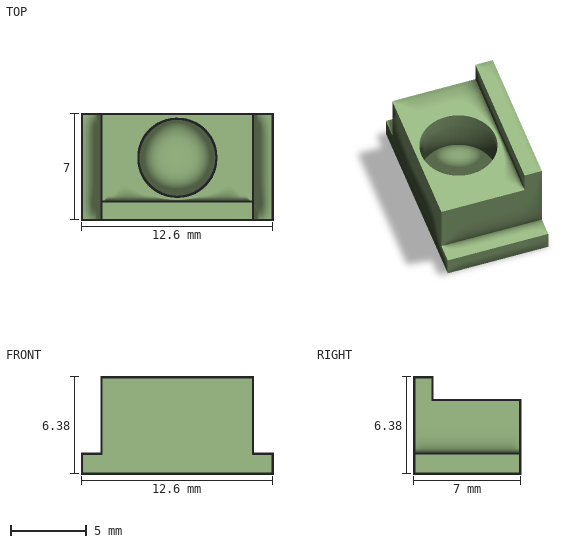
import cadquery as cq

length = 12.6
depth = 7.0
height = 6.38

flange_height = 1.34
body_length = 10.0
ledge_height = 4.88

lip_thickness = 1.21

pocket_diameter = 5.15
pocket_depth = 3.05
ledge_center_y = lip_thickness / 2


def block(size_x, size_y, size_z):
    """Block standing on Z = 0, centred in X, with its front face on the part's front."""
    front_y = -depth / 2
    return (
        cq.Workplane("XY")
        .center(0, front_y + size_y / 2)
        .rect(size_x, size_y)
        .extrude(size_z)
    )


flange = block(length, depth, flange_height)
body = block(body_length, depth, ledge_height)
lip = block(body_length, lip_thickness, height)

pocket = (
    cq.Workplane("XY", origin=(0, ledge_center_y, ledge_height - pocket_depth))
    .circle(pocket_diameter / 2)
    .extrude(pocket_depth)
)

result = flange.union(body).union(lip).cut(pocket)